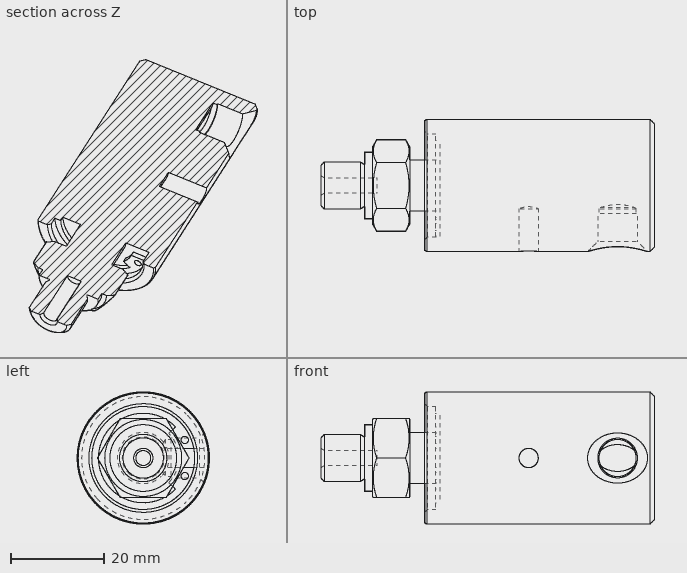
import math

import cadquery as cq

TOTAL_LENGTH = 71.48

STUD_DIA = 10.15
STUD_ROOT_DIA = 9.0
STUD_TIP_CHAMFER = 0.75
STUD_RELIEF_LENGTH = 0.9
STUD_BORE_DIA = 3.2
STUD_BORE_MOUTH_DIA = 4.13
STUD_BORE_MOUTH_DEPTH = 0.8
STUD_BORE_DEPTH = 12.0

COLLAR_DIA = 14.3
COLLAR_START = 9.35
HEX_SIDES = 6
HEX_ACROSS_FLATS = 17.0
HEX_FACE_DIA = 16.5
HEX_CHAMFER_ANGLE = 30.0
HEX_START = 11.05
HEX_LENGTH = 8.0
NECK_DIA = 11.0

BODY_DIA = 28.37
BODY_LENGTH = 49.25
BODY_FRONT_CHAMFER_LENGTH = 0.45
BODY_FRONT_CHAMFER_DEPTH = 0.25
BODY_REAR_CHAMFER = 1.0

RECESS_DIA = 22.07
RECESS_MOUTH_DIA = 23.3
RING_FACE_DEPTH = 2.3
RING_THICKNESS = 1.0
RING_INNER_DIA = 19.2
RING_GAP = 4.1
EAR_INNER_RADIUS = 7.6
EAR_END_ANGLE = 44.0
EAR_HOLE_DIA = 1.57
EAR_HOLE_Y = -8.9
EAR_HOLE_Z = 3.87

CORE_DIA = 9.97
VENT_X = 44.5
VENT_DIA = 4.13
PORT_X = 63.55
PORT_COUNTERSINK_DIA = 12.86
PORT_COUNTERSINK_ANGLE = 90.0
PORT_DIA = 8.5
PORT_DRILL_DIA = 7.95
PORT_DRILL_TIP_ANGLE = 118.0
PORT_DRILL_OVERLAP = 0.25
PORT_LEDGE_HEIGHT = 1.0

HEX_CORNER_DIA = HEX_ACROSS_FLATS / math.cos(math.pi / HEX_SIDES)
HEX_END = HEX_START + HEX_LENGTH
BODY_START = TOTAL_LENGTH - BODY_LENGTH
BODY_RADIUS = BODY_DIA / 2
RECESS_DEPTH = RING_FACE_DEPTH + RING_THICKNESS
RECESS_FLOOR = BODY_START + RECESS_DEPTH


def cylinder_x(diameter, start, end):
    """Cylinder about the X axis between two X positions."""
    return cq.Workplane("YZ", origin=(start, 0, 0)).circle(diameter / 2).extrude(end - start)


def turned(profile):
    """Solid of revolution about the X axis from (x, radius) points."""
    return cq.Workplane("XY").polyline(profile).close().revolve(360, (0, 0, 0), (1, 0, 0))


def make_stud():
    radius = STUD_DIA / 2
    root_radius = STUD_ROOT_DIA / 2
    return turned([
        (0, 0),
        (0, radius - STUD_TIP_CHAMFER),
        (STUD_TIP_CHAMFER, radius),
        (COLLAR_START - STUD_RELIEF_LENGTH, radius),
        (COLLAR_START, root_radius),
        (COLLAR_START, 0),
    ])


def make_stud_bore():
    mouth_radius = STUD_BORE_MOUTH_DIA / 2
    bore_radius = STUD_BORE_DIA / 2
    return turned([
        (0, 0),
        (0, mouth_radius),
        (STUD_BORE_MOUTH_DEPTH, bore_radius),
        (STUD_BORE_DEPTH, bore_radius),
        (STUD_BORE_DEPTH, 0),
    ])


def make_hexagon():
    """Hexagon with corners on +Y and -Y, both ends chamfered."""
    prism = (
        cq.Workplane("YZ", origin=(HEX_START, 0, 0))
        .polygon(HEX_SIDES, HEX_CORNER_DIA)
        .extrude(HEX_LENGTH)
    )
    face_radius = HEX_FACE_DIA / 2
    corner_radius = HEX_CORNER_DIA / 2
    chamfer = (corner_radius - face_radius) * math.tan(math.radians(HEX_CHAMFER_ANGLE))
    envelope = turned([
        (HEX_START, 0),
        (HEX_START, face_radius),
        (HEX_START + chamfer, corner_radius),
        (HEX_END - chamfer, corner_radius),
        (HEX_END, face_radius),
        (HEX_END, 0),
    ])
    return prism.intersect(envelope)


def make_body():
    return turned([
        (BODY_START, 0),
        (BODY_START, BODY_RADIUS - BODY_FRONT_CHAMFER_DEPTH),
        (BODY_START + BODY_FRONT_CHAMFER_LENGTH, BODY_RADIUS),
        (TOTAL_LENGTH - BODY_REAR_CHAMFER, BODY_RADIUS),
        (TOTAL_LENGTH, BODY_RADIUS - BODY_REAR_CHAMFER),
        (TOTAL_LENGTH, 0),
    ])


def make_recess():
    mouth_radius = RECESS_MOUTH_DIA / 2
    radius = RECESS_DIA / 2
    return turned([
        (BODY_START, 0),
        (BODY_START, mouth_radius),
        (BODY_START + mouth_radius - radius, radius),
        (RECESS_FLOOR, radius),
        (RECESS_FLOOR, 0),
    ])


def make_retaining_ring():
    """Open ring with two drilled ears beside the gap, which faces -Y."""
    ring_face = BODY_START + RING_FACE_DEPTH
    plane = cq.Workplane("YZ", origin=(ring_face, 0, 0))
    outer_radius = RECESS_DIA / 2

    ring = plane.circle(outer_radius).circle(RING_INNER_DIA / 2).extrude(RING_THICKNESS)
    ear_band = plane.circle(outer_radius).circle(EAR_INNER_RADIUS).extrude(RING_THICKNESS)
    ear_z = outer_radius * math.tan(math.radians(EAR_END_ANGLE))
    ear_sector = (
        plane.polyline([(0, 0), (-outer_radius, ear_z), (-outer_radius, -ear_z)])
        .close()
        .extrude(RING_THICKNESS)
    )
    ring = ring.union(ear_band.intersect(ear_sector))

    gap = plane.center(-outer_radius / 2, 0).rect(outer_radius, RING_GAP).extrude(RING_THICKNESS)
    ear_holes = (
        plane.pushPoints([(EAR_HOLE_Y, EAR_HOLE_Z), (EAR_HOLE_Y, -EAR_HOLE_Z)])
        .circle(EAR_HOLE_DIA / 2)
        .extrude(RING_THICKNESS)
    )
    return ring.cut(gap).cut(ear_holes)


def make_radial_holes():
    """Vent and countersunk port, drilled along +Y down to the core."""
    core_radius = CORE_DIA / 2
    vent = (
        cq.Workplane("XZ", origin=(VENT_X, 0, 0))
        .circle(VENT_DIA / 2)
        .extrude(BODY_RADIUS)
    )

    sink_radius = PORT_COUNTERSINK_DIA / 2
    port_radius = PORT_DIA / 2
    drill_radius = PORT_DRILL_DIA / 2
    sink_depth = (sink_radius - port_radius) / math.tan(math.radians(PORT_COUNTERSINK_ANGLE / 2))
    drill_end = core_radius - PORT_DRILL_OVERLAP
    ledge = core_radius + PORT_LEDGE_HEIGHT
    tip = drill_end - drill_radius / math.tan(math.radians(PORT_DRILL_TIP_ANGLE / 2))
    port = (
        cq.Workplane("XY", origin=(PORT_X, 0, 0))
        .polyline([
            (0, -BODY_RADIUS),
            (sink_radius, -BODY_RADIUS),
            (port_radius, -BODY_RADIUS + sink_depth),
            (port_radius, -ledge),
            (drill_radius, -ledge),
            (drill_radius, -drill_end),
            (0, -tip),
        ])
        .close()
        .revolve(360, (0, 0, 0), (0, 1, 0))
    )

    core = cylinder_x(CORE_DIA, BODY_START, TOTAL_LENGTH)
    return vent.union(port).cut(core)


body = make_body().cut(make_recess()).union(make_retaining_ring()).cut(make_radial_holes())
collar = cylinder_x(COLLAR_DIA, COLLAR_START, HEX_START)
neck = cylinder_x(NECK_DIA, HEX_END, RECESS_FLOOR)

result = (
    body.union(neck)
    .union(make_hexagon())
    .union(collar)
    .union(make_stud())
    .cut(make_stud_bore())
)